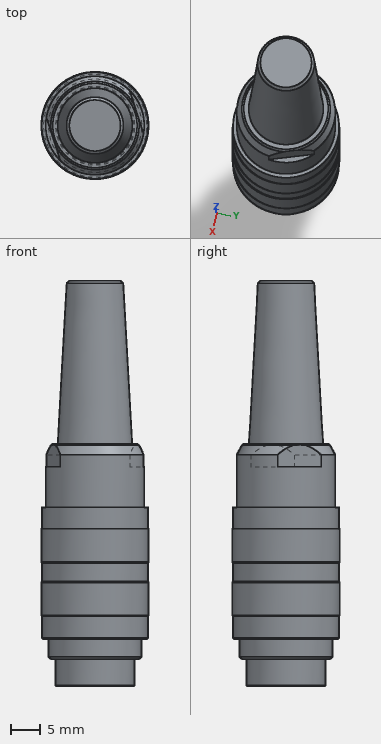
import cadquery as cq

total_length = 69.8
collar_bottom = 4.7
collar_edge = 5.1
sleeve_bottom = 8.1
lower_band_top = 12.1
grip_top = 18.1
middle_band_top = 21.2
upper_grip_top = 27.1
sleeve_top = 30.8
flat_bottom = 37.75
shoulder = 39.85
rim_level = 41.75

sleeve_radius = 9.25
band_step = 0.105
band_bevel = 0.2
band_radius = sleeve_radius - band_step
barrel_radius = 8.48
rim_radius = 7.6
rim_bevel_width = 0.35
rim_bevel_height = 0.3
collar_radius = 8.0
collar_bottom_radius = 7.55
nose_radius = 6.805
nose_chamfer = 0.2
sleeve_chamfer = 0.3

flat_distance = 7.52
flat_angle = 17.9

boot_base_radius = 6.4
boot_tip_radius = 4.9
boot_tip_chamfer = 0.5


def turned(profile):
    """Solid of revolution about Z from (radius, height) points."""
    return cq.Workplane("XZ").polyline(profile).close().revolve(360, (0, 0), (0, 1))


def make_housing():
    housing = turned([
        (0, 0),
        (nose_radius - nose_chamfer, 0),
        (nose_radius, nose_chamfer),
        (nose_radius, collar_bottom),
        (collar_bottom_radius, collar_bottom),
        (collar_radius, collar_edge),
        (collar_radius, sleeve_bottom),
        (band_radius - sleeve_chamfer, sleeve_bottom),
        (band_radius, sleeve_bottom + sleeve_chamfer),
        (band_radius, lower_band_top),
        (sleeve_radius, lower_band_top + band_bevel),
        (sleeve_radius, grip_top - band_bevel),
        (band_radius, grip_top),
        (band_radius, middle_band_top),
        (sleeve_radius, middle_band_top + band_bevel),
        (sleeve_radius, upper_grip_top),
        (band_radius, upper_grip_top),
        (band_radius, sleeve_top),
        (barrel_radius, sleeve_top),
        (barrel_radius, shoulder),
        (rim_radius, rim_level - rim_bevel_height),
        (rim_radius - rim_bevel_width, rim_level),
        (0, rim_level),
    ])
    for turn in (flat_angle, flat_angle + 180):
        block = (
            cq.Workplane("XY")
            .box(barrel_radius, 2 * barrel_radius, rim_level - flat_bottom, centered=(False, True, False))
            .translate((flat_distance, 0, flat_bottom))
            .rotate((0, 0, 0), (0, 0, 1), turn)
        )
        housing = housing.cut(block)
    return housing


def make_boot():
    return turned([
        (0, rim_level),
        (boot_base_radius, rim_level),
        (boot_tip_radius, total_length - boot_tip_chamfer),
        (boot_tip_radius - boot_tip_chamfer, total_length),
        (0, total_length),
    ])


housing = make_housing()
boot = make_boot()
result = cq.Compound.makeCompound([housing.val(), boot.val()])